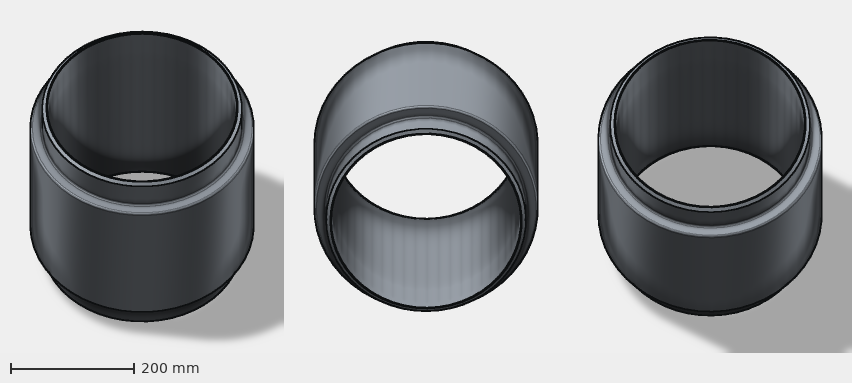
import cadquery as cq
import math

sleeve_diameter = 363.0
sleeve_length = 254.0
pipe_diameter = 323.8
pipe_length = 355.0
bore_diameter = 307.5
bevel_width = 6.5
bevel_angle = 30.0
sleeve_edge_radius = 3.3
root_radius = 3.3

bevel_height = bevel_width * math.tan(math.radians(bevel_angle))


def centered_cylinder(diameter, length):
    """Cylinder along Z, centered on the origin."""
    return cq.Workplane("XY").cylinder(length, diameter / 2)


def beveled_pipe():
    """Solid pipe blank, revolved about Z, with a bevel on both ends."""
    radius = pipe_diameter / 2
    half_length = pipe_length / 2
    end_radius = radius - bevel_width
    bevel_start = half_length - bevel_height
    return (
        cq.Workplane("XZ")
        .moveTo(0, -half_length)
        .lineTo(end_radius, -half_length)
        .lineTo(radius, -bevel_start)
        .lineTo(radius, bevel_start)
        .lineTo(end_radius, half_length)
        .lineTo(0, half_length)
        .close()
        .revolve(360, (0, 0, 0), (0, 1, 0))
    )


def shoulder_edges(body, diameter):
    """Circular edges of the given diameter lying in the two sleeve shoulder planes."""
    tolerance = 0.05
    return body.edges("%CIRCLE").filter(
        lambda edge: abs(abs(edge.Center().z) - sleeve_length / 2) < tolerance
        and abs(edge.radius() - diameter / 2) < tolerance
    )


body = beveled_pipe().union(centered_cylinder(sleeve_diameter, sleeve_length))
body = shoulder_edges(body, sleeve_diameter).fillet(sleeve_edge_radius)
body = shoulder_edges(body, pipe_diameter).fillet(root_radius)

result = body.cut(centered_cylinder(bore_diameter, pipe_length))